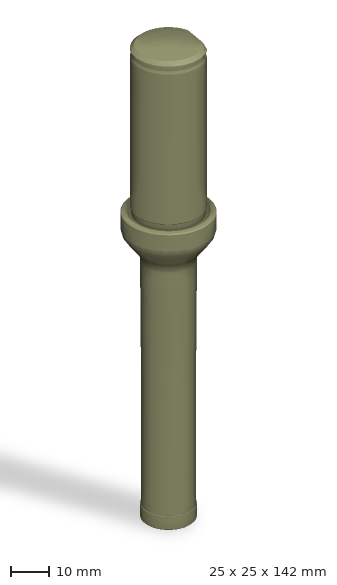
import cadquery as cq

TOTAL_LENGTH = 142.0
HEAD_HEIGHT = 4.5
REDUCED_END = 43.7
NECK_BOTTOM = 73.0
NECK_TOP = 78.0
COLLAR_BOTTOM = 87.0
COLLAR_TOP = 92.2
SHANK_BOTTOM = 93.5

HEAD_RADIUS = 14.8 / 2
REDUCED_RADIUS = 14.3 / 2
NECK_RADIUS = HEAD_RADIUS
COLLAR_RADIUS = 25.0 / 2
SHANK_RADIUS = 20.0 / 2
GROOVE_RADIUS = 19.5 / 2

TOP_CHAMFER_WIDTH = 1.1
TOP_CHAMFER_HEIGHT = 1.0
LAND_HEIGHT = 0.4
GROOVE_HEIGHT = 1.1
GROOVE_RUNOUT = 0.9
SHANK_EDGE_CHAMFER = SHANK_RADIUS - GROOVE_RADIUS
COLLAR_CHAMFER = 0.3

FLAT_OFFSET = 8.1
FLAT_BOTTOM = 97.5

BLEND_HANDLE = (COLLAR_BOTTOM - NECK_TOP) / 3

RELIEF_DEPTH = 0.4
RELIEF_FLOOR_RADIUS = 10.5
RELIEF_MOUTH_RADIUS = RELIEF_FLOOR_RADIUS + RELIEF_DEPTH

HEAD_POINT_HEIGHT = 0.4
HEAD_CHAMFER = 0.3


def revolve_profile(profile):
    return profile.close().revolve(360, (0, 0, 0), (0, 1, 0))


def make_holder():
    """Shank, collar and tapered body turned as one piece, with a clamping flat."""
    land_top = TOTAL_LENGTH - TOP_CHAMFER_HEIGHT
    groove_top = land_top - LAND_HEIGHT
    groove_bottom = groove_top - GROOVE_HEIGHT
    runout_bottom = groove_bottom - GROOVE_RUNOUT
    blend_points = [
        (NECK_RADIUS, NECK_TOP + BLEND_HANDLE),
        (COLLAR_RADIUS, COLLAR_BOTTOM - BLEND_HANDLE),
        (COLLAR_RADIUS, COLLAR_BOTTOM),
    ]
    profile = (
        cq.Workplane("XZ")
        .moveTo(0, HEAD_HEIGHT)
        .lineTo(REDUCED_RADIUS, HEAD_HEIGHT)
        .lineTo(REDUCED_RADIUS, REDUCED_END)
        .lineTo(NECK_RADIUS, NECK_BOTTOM)
        .lineTo(NECK_RADIUS, NECK_TOP)
        .bezier(blend_points, includeCurrent=True)
        .lineTo(COLLAR_RADIUS, COLLAR_TOP - COLLAR_CHAMFER)
        .lineTo(COLLAR_RADIUS - COLLAR_CHAMFER, COLLAR_TOP)
        .lineTo(RELIEF_MOUTH_RADIUS, COLLAR_TOP)
        .lineTo(RELIEF_FLOOR_RADIUS, COLLAR_TOP - RELIEF_DEPTH)
        .lineTo(GROOVE_RADIUS, COLLAR_TOP - RELIEF_DEPTH)
        .lineTo(GROOVE_RADIUS, SHANK_BOTTOM)
        .lineTo(SHANK_RADIUS, SHANK_BOTTOM + SHANK_EDGE_CHAMFER)
        .lineTo(SHANK_RADIUS, runout_bottom)
        .lineTo(GROOVE_RADIUS, groove_bottom)
        .lineTo(GROOVE_RADIUS, groove_top)
        .lineTo(SHANK_RADIUS, groove_top)
        .lineTo(SHANK_RADIUS, land_top)
        .lineTo(SHANK_RADIUS - TOP_CHAMFER_WIDTH, TOTAL_LENGTH)
        .lineTo(0, TOTAL_LENGTH)
    )
    return revolve_profile(profile).cut(make_flat_cutter())


def make_flat_cutter():
    slope_run = SHANK_RADIUS - FLAT_OFFSET
    return (
        cq.Workplane("YZ")
        .moveTo(FLAT_OFFSET, TOTAL_LENGTH)
        .lineTo(FLAT_OFFSET, FLAT_BOTTOM)
        .lineTo(FLAT_OFFSET + slope_run, FLAT_BOTTOM - slope_run)
        .lineTo(FLAT_OFFSET + slope_run, TOTAL_LENGTH)
        .close()
        .extrude(SHANK_RADIUS, both=True)
    )


def make_cutting_head():
    """Short head with a shallow conical point, seated on the end of the holder."""
    profile = (
        cq.Workplane("XZ")
        .lineTo(HEAD_RADIUS - HEAD_CHAMFER, HEAD_POINT_HEIGHT)
        .lineTo(HEAD_RADIUS, HEAD_POINT_HEIGHT + HEAD_CHAMFER)
        .lineTo(HEAD_RADIUS, HEAD_HEIGHT)
        .lineTo(0, HEAD_HEIGHT)
    )
    return revolve_profile(profile)


holder = make_holder()
cutting_head = make_cutting_head()
result = cq.Compound.makeCompound([holder.val(), cutting_head.val()])